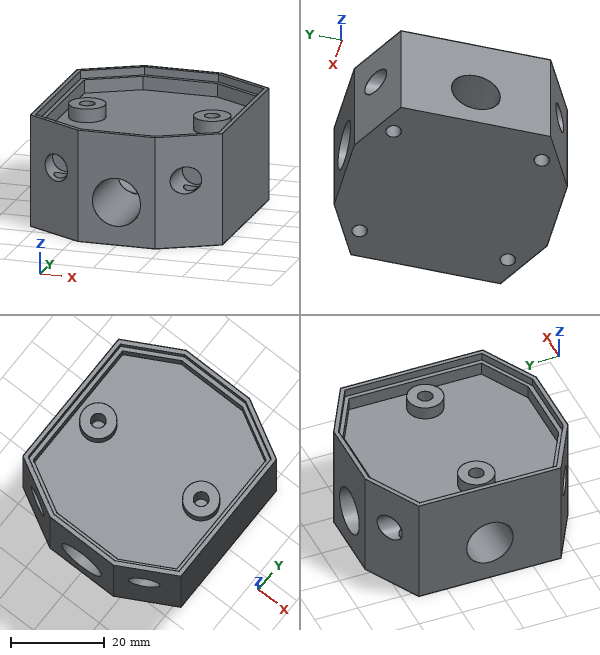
import cadquery as cq

body_width = 43.0
body_length = 47.0
body_height = 25.0
end_flat_width = 17.3
side_flat_length = 33.0

rim_thickness = 1.0
rim_depth = 1.8
recess_depth = 4.8
inner_end_flat_width = 16.65
lip_side_flat_length = 31.75
floor_side_flat_length = 30.75
floor_width = body_width - 4 * rim_thickness
floor_length = 42.95
floor_z = body_height - recess_depth

boss_diameter = 8.0
boss_hole_diameter = 3.3
boss_spacing = 28.0
boss_height = recess_depth - rim_depth
boss_hole_depth = 6.0

passage_diameter = 10.75
passage_z = 9.65

corner_bore_diameter = 6.0
corner_bore_spacing = 29.05
corner_bore_z = 15.0

screw_hole_diameter = 3.3
screw_hole_y = 16.35
corner_bore_end_y = screw_hole_y - corner_bore_diameter / 2


def eight_sided_prism(width, length, end_flat, side_flat, bottom_z, height):
    """Prism with a rectangular outline whose four corners are cut off."""
    half_width = width / 2
    half_length = length / 2
    half_end = end_flat / 2
    half_side = side_flat / 2
    outline = [
        (half_width, -half_side),
        (half_width, half_side),
        (half_end, half_length),
        (-half_end, half_length),
        (-half_width, half_side),
        (-half_width, -half_side),
        (-half_end, -half_length),
        (half_end, -half_length),
    ]
    return cq.Workplane("XY").workplane(offset=bottom_z).polyline(outline).close().extrude(height)


def cylinder(diameter, start, direction, length):
    """Solid cylinder from a start point along a direction."""
    return cq.Workplane(
        cq.Solid.makeCylinder(diameter / 2, length, cq.Vector(*start), cq.Vector(*direction))
    )


result = eight_sided_prism(
    body_width, body_length, end_flat_width, side_flat_length, 0, body_height
)

result = result.cut(eight_sided_prism(
    body_width - 2 * rim_thickness, body_length - 2 * rim_thickness,
    inner_end_flat_width, lip_side_flat_length, body_height - rim_depth, rim_depth,
))
result = result.cut(eight_sided_prism(
    floor_width, floor_length,
    inner_end_flat_width, floor_side_flat_length, floor_z, recess_depth,
))

for side in (-1, 1):
    boss_x = side * boss_spacing / 2
    boss_top = (boss_x, 0, floor_z + boss_height)
    result = result.union(cylinder(boss_diameter, (boss_x, 0, floor_z), (0, 0, 1), boss_height))
    result = result.cut(cylinder(boss_hole_diameter, boss_top, (0, 0, -1), boss_hole_depth))

result = result.cut(
    cylinder(passage_diameter, (0, -body_length / 2, passage_z), (0, 1, 0), body_length)
)
result = result.cut(
    cylinder(passage_diameter, (-body_width / 2, 0, passage_z), (1, 0, 0), body_width / 2)
)

for x_side in (-1, 1):
    for y_side in (-1, 1):
        bore_start = (x_side * corner_bore_spacing / 2, y_side * body_length / 2, corner_bore_z)
        result = result.cut(cylinder(
            corner_bore_diameter, bore_start, (0, -y_side, 0), body_length / 2 - corner_bore_end_y
        ))
        screw_start = (x_side * corner_bore_spacing / 2, y_side * screw_hole_y, 0)
        result = result.cut(cylinder(screw_hole_diameter, screw_start, (0, 0, 1), corner_bore_z))